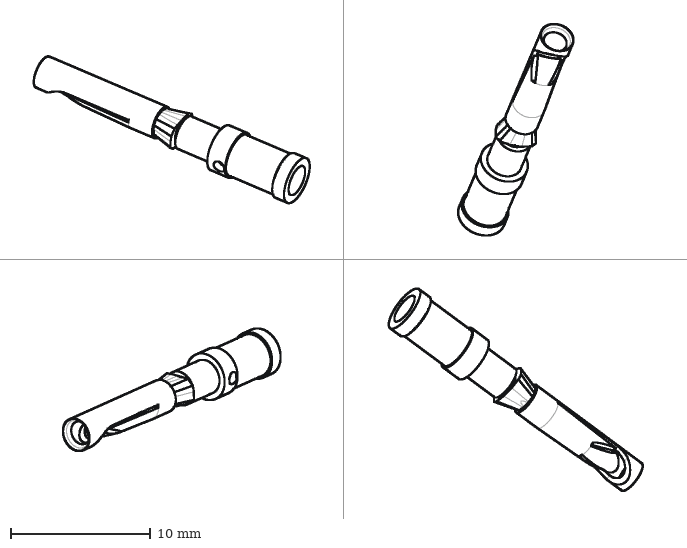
import cadquery as cq
import math


CLIP_START = 10.0
CLIP_END = 11.75
SHANK_START = 12.0
COLLAR_START = 15.0
COLLAR_END = 16.5
END_RIM_START = 20.5
TOTAL_LENGTH = 21.5

SLEEVE_DIAMETER = 2.45
NECK_DIAMETER = 1.8
SHANK_DIAMETER = 2.55
COLLAR_DIAMETER = 3.5
BARREL_DIAMETER = 3.2

BORE_DIAMETER = 1.7
BORE_DEPTH = 8.5
DRILL_POINT_ANGLE = 118.0
MOUTH_DIAMETER = 2.38
LEAD_IN_DIAMETER = 2.08
LEAD_IN_DEPTH = 0.2
BORE_START = 0.5

WIRE_BORE_DIAMETER = 2.25
WIRE_BORE_START = 15.5
INSPECTION_HOLE_DIAMETER = 0.9
INSPECTION_HOLE_X = 16.0

SLIT_HEIGHT = 0.22
SLIT_END = 8.0
SLIT_BEND_RADIUS = 2.0
SLIT_SLOPE_ANGLE = 45.0
SLIT_EXIT_X = 0.53
TONGUE_TIP_X = 2.25

TONGUE_PRESS_START = 1.0
TONGUE_PRESS_END = 4.27
TONGUE_START_RADIUS = 0.68
TONGUE_PRESS_END_RADIUS = 1.12
TONGUE_BORE_TIP_RADIUS = 0.57
SHOULDER_TIP_X = 2.43
SHOULDER_ANGLE = 24.0
TONGUE_FLAT_ANGLE = 9.5
TONGUE_FLAT_HALF_WIDTH = 0.83

CLIP_FRONT_HALF = [
    (0.0, 1.05), (0.27, 1.03), (0.67, 0.88), (0.93, 0.47), (1.0, 0.16),
    (0.93, -0.44), (0.74, -0.7), (0.3, -0.87),
]
CLIP_BACK_HALF = [
    (0.0, 1.05), (0.55, 1.05), (0.95, 1.03), (1.4, 0.62), (1.5, 0.17),
    (1.5, -0.45), (1.2, -0.78), (0.45, -0.98),
]

sleeve_radius = SLEEVE_DIAMETER / 2
bore_radius = BORE_DIAMETER / 2
collar_radius = COLLAR_DIAMETER / 2


def cylinder(diameter, start, end):
    return cq.Workplane("YZ").workplane(offset=start).circle(diameter / 2).extrude(end - start)


def turned(profile):
    """Revolve a closed (X, radius) profile about the X axis."""
    return cq.Workplane("XY").polyline(profile).close().revolve(360, (0, 0, 0), (1, 0, 0))


def prism_across(profile):
    """Extrude a closed (X, Z) profile across the full width of the part."""
    return cq.Workplane("XZ").polyline(profile).close().extrude(collar_radius, both=True)


def socket_bore():
    point_length = bore_radius / math.tan(math.radians(DRILL_POINT_ANGLE / 2))
    return turned([
        (0, 0),
        (0, MOUTH_DIAMETER / 2),
        (LEAD_IN_DEPTH, LEAD_IN_DIAMETER / 2),
        (BORE_START, bore_radius),
        (BORE_DEPTH, bore_radius),
        (BORE_DEPTH + point_length, 0),
    ])


def tongue_opening():
    """The slit and all the sleeve below it; the spring tongue is put back afterwards."""
    slope = math.radians(SLIT_SLOPE_ANGLE)
    half_angle = slope / 2
    corner_x = SLIT_EXIT_X + (sleeve_radius + SLIT_HEIGHT) / math.tan(slope)
    tangent_length = SLIT_BEND_RADIUS * math.tan(half_angle)
    bend_start = (
        corner_x - tangent_length * math.cos(slope),
        SLIT_HEIGHT - tangent_length * math.sin(slope),
    )
    bend_end_x = corner_x + tangent_length
    bend_middle = (
        bend_end_x - SLIT_BEND_RADIUS * math.sin(half_angle),
        SLIT_HEIGHT - SLIT_BEND_RADIUS * (1 - math.cos(half_angle)),
    )
    underside = -collar_radius
    underside_x = SLIT_EXIT_X - (collar_radius - sleeve_radius) / math.tan(slope)
    return (
        cq.Workplane("XZ")
        .moveTo(underside_x, underside)
        .lineTo(*bend_start)
        .threePointArc(bend_middle, (bend_end_x, SLIT_HEIGHT))
        .lineTo(SLIT_END, SLIT_HEIGHT)
        .lineTo(SLIT_END, underside)
        .close()
        .extrude(collar_radius, both=True)
    )


def tongue():
    rear_slope = (sleeve_radius - TONGUE_PRESS_END_RADIUS) / (SLIT_END - TONGUE_PRESS_END)
    full_width = turned([
        (SHOULDER_TIP_X, 0),
        (SHOULDER_TIP_X, sleeve_radius - rear_slope * (SLIT_END - SHOULDER_TIP_X)),
        (SLIT_END, sleeve_radius),
        (SLIT_END, 0),
    ])

    pressed_core = turned([
        (TONGUE_PRESS_START, 0),
        (TONGUE_PRESS_START, TONGUE_START_RADIUS),
        (TONGUE_PRESS_END, TONGUE_PRESS_END_RADIUS),
        (TONGUE_PRESS_END, 0),
    ])
    flat_slope = math.tan(math.radians(TONGUE_FLAT_ANGLE))
    pressed_length = TONGUE_PRESS_END - TONGUE_TIP_X
    wide_y = TONGUE_FLAT_HALF_WIDTH + (TONGUE_TIP_X - TONGUE_PRESS_START) * flat_slope
    narrow_y = TONGUE_FLAT_HALF_WIDTH - pressed_length * flat_slope
    between_flats = (
        cq.Workplane("XY")
        .polyline([
            (TONGUE_PRESS_START, -wide_y),
            (TONGUE_PRESS_END, -narrow_y),
            (TONGUE_PRESS_END, narrow_y),
            (TONGUE_PRESS_START, wide_y),
        ])
        .close()
        .extrude(collar_radius, both=True)
    )

    shoulder_depth = (TONGUE_PRESS_END - SHOULDER_TIP_X) * math.tan(math.radians(SHOULDER_ANGLE))
    rear_stretch = full_width.intersect(prism_across([
        (SHOULDER_TIP_X, 0),
        (TONGUE_PRESS_END, -shoulder_depth),
        (TONGUE_PRESS_END, -collar_radius),
        (SLIT_END, -collar_radius),
        (SLIT_END, 0),
    ]))

    bore = turned([
        (TONGUE_PRESS_START, 0),
        (TONGUE_PRESS_START, TONGUE_BORE_TIP_RADIUS),
        (SLIT_END, bore_radius),
        (SLIT_END, 0),
    ])

    slope = math.radians(SLIT_SLOPE_ANGLE)
    lower_half = prism_across([
        (TONGUE_TIP_X, 0),
        (TONGUE_TIP_X - collar_radius / math.tan(slope), -collar_radius),
        (SLIT_END, -collar_radius),
        (SLIT_END, 0),
    ])
    return pressed_core.intersect(between_flats).union(rear_stretch).intersect(lower_half).cut(bore)


def clip():
    def full_outline(half):
        mirrored = [(-y, z) for y, z in reversed(half) if y > 0]
        return half + mirrored

    return (
        cq.Workplane("YZ")
        .workplane(offset=CLIP_START)
        .polyline(full_outline(CLIP_FRONT_HALF))
        .close()
        .workplane(offset=CLIP_END - CLIP_START)
        .polyline(full_outline(CLIP_BACK_HALF))
        .close()
        .loft(ruled=True)
    )


def inspection_hole():
    return (
        cq.Workplane("XZ")
        .center(INSPECTION_HOLE_X, 0)
        .circle(INSPECTION_HOLE_DIAMETER / 2)
        .extrude(COLLAR_DIAMETER)
    )


socket = cylinder(SLEEVE_DIAMETER, 0, CLIP_START).cut(socket_bore()).cut(tongue_opening()).union(tongue())

barrel = (
    cylinder(SHANK_DIAMETER, SHANK_START, COLLAR_START)
    .union(cylinder(COLLAR_DIAMETER, COLLAR_START, COLLAR_END))
    .union(cylinder(BARREL_DIAMETER, COLLAR_END, END_RIM_START))
    .union(cylinder(COLLAR_DIAMETER, END_RIM_START, TOTAL_LENGTH))
    .cut(cylinder(WIRE_BORE_DIAMETER, WIRE_BORE_START, TOTAL_LENGTH))
    .cut(inspection_hole())
)

neck = cylinder(NECK_DIAMETER, CLIP_START, SHANK_START)

result = socket.union(neck).union(clip()).union(barrel)